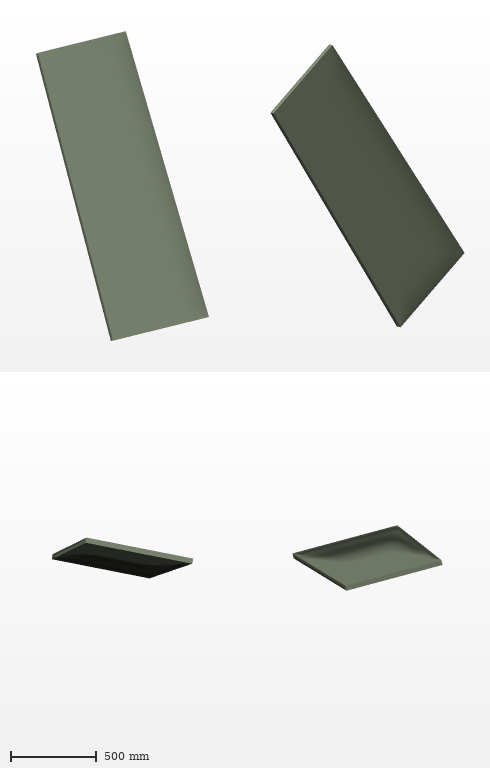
import cadquery as cq
import math

span_x = 937.0
span_z = 1490.0
bottom_width = 637.0
top_width = 584.0

top_end_run = 24.0
top_end_drop = 20.0
bottom_end_drop = 13.0

upper_run = span_x - top_end_run
upper_drop = span_z - bottom_end_drop
lean = math.atan2(upper_drop, upper_run)
lower_drop = span_z - top_end_drop
lower_run = lower_drop / math.tan(lean)

profile = [
    (0, lower_drop),
    (top_end_run, span_z),
    (span_x, bottom_end_drop),
    (lower_run, 0),
]
blank = cq.Workplane("XZ").polyline(profile).close().extrude(-bottom_width)

face_length = math.hypot(upper_run, upper_drop)
outline = [
    (0, 0),
    (face_length, 0),
    (face_length, bottom_width),
    (0, top_width),
]
face_plane = cq.Plane(
    origin=(top_end_run, 0, span_z),
    xDir=(math.cos(lean), 0, -math.sin(lean)),
    normal=(math.sin(lean), 0, math.cos(lean)),
)

cut_depth = span_x
tapered_prism = cq.Workplane(face_plane).polyline(outline).close().extrude(-cut_depth)
result = blank.intersect(tapered_prism)